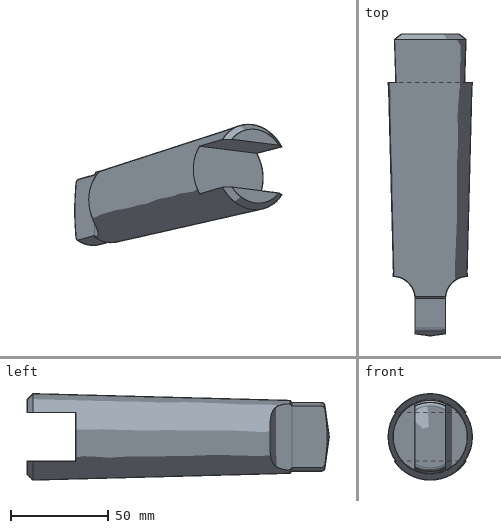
import cadquery as cq
import math

total_length = 155.5
large_diameter = 44.72
taper = 0.0525
large_end_chamfer = 3.0

tang_diameter = 35.4
tang_thickness = 15.8
tang_root = 19.3
body_end_chamfer = 1.0
tip_cone_angle = math.radians(8)
tip_round_radius = 2.0
scoop_radius = 11.3

slot_width = 25.0
slot_depth = 25.0

cut_margin = 1.0


def taper_radius(y):
    """Radius of the tapered body at distance y from the tip."""
    return (large_diameter - taper * (total_length - y)) / 2


def make_shank():
    """Round shank: conical tip, cylindrical tang stock, tapered body and end chamfer."""
    tang_radius = tang_diameter / 2
    body_start = tang_root + body_end_chamfer
    chamfer_start = total_length - large_end_chamfer
    chamfer_radius = taper_radius(chamfer_start)
    round_center_r = tang_radius - tip_round_radius
    cone_radius = round_center_r + tip_round_radius * math.sin(tip_cone_angle)
    cone_height = cone_radius * math.tan(tip_cone_angle)
    round_center_y = cone_height + tip_round_radius * math.cos(tip_cone_angle)
    round_diagonal = tip_round_radius * math.sqrt(0.5)
    profile = (
        cq.Workplane("YZ")
        .lineTo(cone_height, cone_radius)
        .threePointArc(
            (round_center_y - round_diagonal, round_center_r + round_diagonal),
            (round_center_y, tang_radius),
        )
        .lineTo(tang_root, tang_radius)
        .lineTo(tang_root, taper_radius(body_start) - body_end_chamfer)
        .lineTo(body_start, taper_radius(body_start))
        .lineTo(chamfer_start, chamfer_radius)
        .lineTo(total_length, chamfer_radius - large_end_chamfer)
        .lineTo(total_length, 0)
        .close()
    )
    return profile.revolve(360, (0, 0, 0), (1, 0, 0))


def make_tang_cutter(side):
    """Material beside the tang on one side (+1 or -1 in X), ending in a concave scoop."""
    inner = side * tang_thickness / 2
    center_x = inner + side * scoop_radius
    outer = side * large_diameter
    diagonal = scoop_radius * math.sqrt(0.5)
    return (
        cq.Workplane("XY")
        .moveTo(inner, -cut_margin)
        .lineTo(inner, tang_root)
        .threePointArc(
            (center_x - side * diagonal, tang_root + diagonal),
            (center_x, tang_root + scoop_radius),
        )
        .lineTo(outer, tang_root + scoop_radius)
        .lineTo(outer, -cut_margin)
        .close()
        .extrude(large_diameter, both=True)
    )


def make_slot():
    """Slot across the large end, running through in X."""
    block = cq.Workplane("XY").box(2 * large_diameter, 2 * slot_depth, slot_width)
    return block.translate((0, total_length, 0))


result = make_shank().cut(make_slot())
for side in (-1, 1):
    result = result.cut(make_tang_cutter(side))